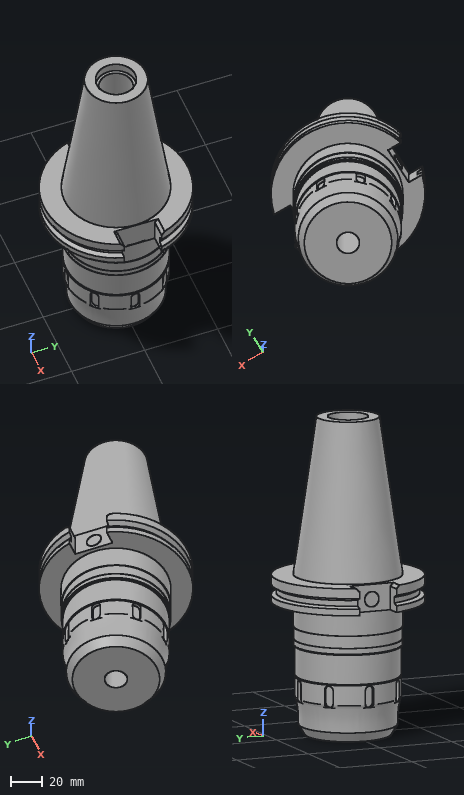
import cadquery as cq

total_height = 206.5

taper_length = 101.6
taper_top_radius = 20.2
taper_base_radius = 35.0
taper_base_z = total_height - taper_length

flange_radius = 49.2
flange_height = 17.5
flange_top_z = 104.0
flange_bottom_z = flange_top_z - flange_height
upper_lip_height = 6.5
lower_lip_height = 4.3
groove_floor_radius = 45.9
upper_flank_height = 1.9
lower_flank_height = 1.2
groove_top_z = flange_top_z - upper_lip_height
groove_bottom_z = flange_bottom_z + lower_lip_height

body_radius = 35.1
body_bottom_z = 70.2
neck_radius = 34.7
neck_bottom_z = 62.2
collar_radius = 35.0
collar_bottom_z = 58.3

nut_radius = 34.0
relief_radius = 33.7
relief_height = 0.6
nut_band_top_z = 38.5
nut_band_bottom_z = 24.8
nut_curve_top_z = 23.0
nut_curve_top_radius = 33.5
nut_waist_radius = 32.0
nose_radius = 31.8
nose_chamfer_height = 6.6
nose_face_radius = 27.9

spanner_slot_count = 8
spanner_slot_width = 5.8
spanner_slot_bottom_z = 23.0
spanner_slot_top_z = 37.2
spanner_slot_floor_radius = 31.8

keyway_width = 25.6
keyway_floor_left = 37.5
keyway_floor_right = 35.3
keyway_chamfer = 2.3
mark_radius = 5.0
mark_depth = 0.2
mark_drop = 9.7

counterbore_radius = 13.0
counterbore_depth = 6.2
pull_stud_radius = 11.0
pull_stud_depth = 43.4
through_radius = 7.2


def make_body():
    """Revolve the outer profile of shank, flange, body and nut."""
    waist = (nut_waist_radius, (nose_chamfer_height + nut_curve_top_z) / 2)
    return (
        cq.Workplane("XZ")
        .moveTo(0, 0)
        .lineTo(nose_face_radius, 0)
        .lineTo(nose_radius, nose_chamfer_height)
        .threePointArc(waist, (nut_curve_top_radius, nut_curve_top_z))
        .lineTo(nut_radius, nut_band_bottom_z)
        .lineTo(nut_radius, nut_band_top_z - relief_height)
        .lineTo(relief_radius, nut_band_top_z - relief_height)
        .lineTo(relief_radius, nut_band_top_z)
        .lineTo(nut_radius, nut_band_top_z)
        .lineTo(nut_radius, collar_bottom_z - relief_height)
        .lineTo(relief_radius, collar_bottom_z - relief_height)
        .lineTo(relief_radius, collar_bottom_z)
        .lineTo(collar_radius, collar_bottom_z)
        .lineTo(collar_radius, neck_bottom_z)
        .lineTo(neck_radius, neck_bottom_z)
        .lineTo(neck_radius, body_bottom_z)
        .lineTo(body_radius, body_bottom_z)
        .lineTo(body_radius, flange_bottom_z)
        .lineTo(flange_radius, flange_bottom_z)
        .lineTo(flange_radius, groove_bottom_z)
        .lineTo(groove_floor_radius, groove_bottom_z + lower_flank_height)
        .lineTo(groove_floor_radius, groove_top_z - upper_flank_height)
        .lineTo(flange_radius, groove_top_z)
        .lineTo(flange_radius, flange_top_z)
        .lineTo(taper_base_radius, flange_top_z)
        .lineTo(taper_base_radius, taper_base_z)
        .lineTo(taper_top_radius, total_height)
        .lineTo(0, total_height)
        .close()
        .revolve(360, (0, 0, 0), (0, 1, 0))
    )


def make_bore():
    """Counterbore, pull-stud bore and through hole."""
    through = cq.Workplane("XY").circle(through_radius).extrude(total_height)
    top = cq.Workplane("XY").workplane(offset=total_height)
    pull_stud = top.circle(pull_stud_radius).extrude(-pull_stud_depth)
    counterbore = top.circle(counterbore_radius).extrude(-counterbore_depth)
    return through.union(pull_stud).union(counterbore)


def make_keyway(side, floor_distance):
    """Keyway cutter with chamfered mouth; side is -1 for -X and +1 for +X."""
    half_width = keyway_width / 2
    mouth_half_width = half_width + keyway_chamfer
    return (
        cq.Workplane("YZ")
        .workplane(offset=side * floor_distance)
        .moveTo(-half_width, flange_bottom_z)
        .lineTo(half_width, flange_bottom_z)
        .lineTo(half_width, flange_top_z - keyway_chamfer)
        .lineTo(mouth_half_width, flange_top_z)
        .lineTo(-mouth_half_width, flange_top_z)
        .lineTo(-half_width, flange_top_z - keyway_chamfer)
        .close()
        .extrude(side * flange_radius)
    )


def make_floor_mark(side, floor_distance):
    """Shallow round recess in a keyway floor."""
    return (
        cq.Workplane("YZ")
        .workplane(offset=side * floor_distance)
        .center(0, flange_top_z - mark_drop)
        .circle(mark_radius)
        .extrude(-side * mark_depth)
    )


def make_spanner_slot(angle):
    """Round-ended slot cutter with a flat floor, turned to the given angle."""
    return (
        cq.Workplane("YZ")
        .workplane(offset=spanner_slot_floor_radius)
        .center(0, (spanner_slot_bottom_z + spanner_slot_top_z) / 2)
        .slot2D(spanner_slot_top_z - spanner_slot_bottom_z, spanner_slot_width, 90)
        .extrude(nut_radius)
        .rotate((0, 0, 0), (0, 0, 1), angle)
    )


result = make_body().cut(make_bore())
result = result.cut(make_keyway(-1, keyway_floor_left))
result = result.cut(make_keyway(1, keyway_floor_right))
result = result.cut(make_floor_mark(-1, keyway_floor_left))
for slot in range(spanner_slot_count):
    result = result.cut(make_spanner_slot(slot * 360 / spanner_slot_count))